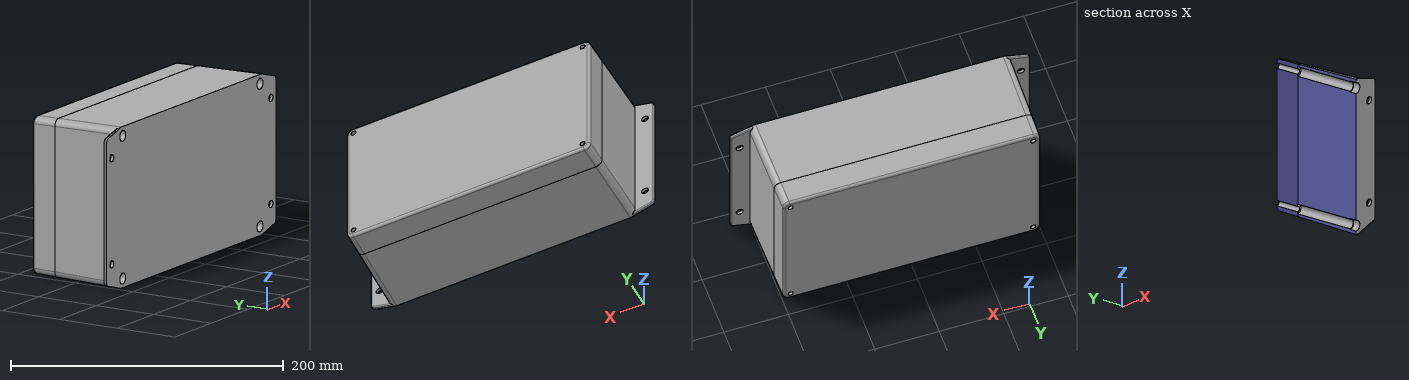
import cadquery as cq

flange_length = 232.0
box_height = 122.0
box_depth = 75.0

box_length = 202.0
draft_angle = 1.0
corner_radius = 5.0
lid_edge_radius = 2.0
lid_depth = 19.7
parting_y = box_depth - lid_depth

flange_thickness = 2.5
flange_edge_radius = 1.0
flange_corner_radius = 3.0
flange_end_height = 110.6
flange_root_length = 196.2
flange_root_height = 120.8

mount_hole_diameter = 5.3
mount_hole_pitch_x = 217.8
mount_hole_pitch_z = 80.2
counterbore_diameter = 8.1
counterbore_depth = 5.8
screw_well_diameter = 7.2
screw_hole_diameter = 4.0
screw_pitch_x = 187.9
screw_pitch_z = 107.8


def make_box():
    """Solid box that narrows towards the front, with rounded corners and front edge."""
    return (
        cq.Workplane("ZX")
        .rect(box_height, box_length)
        .extrude(box_depth, taper=draft_angle)
        .edges("not(#Y)")
        .fillet(corner_radius)
        .faces(">Y")
        .edges()
        .fillet(lid_edge_radius)
    )


def make_slab(start_y, depth):
    """Block wider than the part, used to cut the box at the parting plane."""
    return (
        cq.Workplane("ZX", origin=(0, start_y, 0))
        .rect(flange_length, flange_length)
        .extrude(depth)
    )


def make_ear(side):
    """Tapering plate past one end of the box; side is +1 for the +X end and -1 for the -X end."""
    end_x = side * flange_length / 2
    end_z = flange_end_height / 2
    root_x = side * flange_root_length / 2
    root_z = flange_root_height / 2
    outline = [(end_z, end_x), (root_z, root_x), (-root_z, root_x), (-end_z, end_x)]
    end_side = ">X" if side > 0 else "<X"
    root_side = "<X" if side > 0 else ">X"
    return (
        cq.Workplane("ZX")
        .polyline(outline)
        .close()
        .extrude(flange_thickness)
        .edges(f"|Y and {end_side}")
        .fillet(flange_corner_radius)
        .faces(">Y")
        .edges(f"not {root_side}")
        .fillet(flange_edge_radius)
    )


def make_holes(pitch_x, pitch_z, diameter, start_y, depth):
    """Four cylinders along Y at the corners of a centred rectangle."""
    return (
        cq.Workplane("ZX", origin=(0, start_y, 0))
        .rect(pitch_z, pitch_x, forConstruction=True)
        .vertices()
        .circle(diameter / 2)
        .extrude(depth)
    )


def make_base():
    """Base with its two flange ears, mounting holes and a counterbored screw well in each corner."""
    body = make_box().intersect(make_slab(0, parting_y))
    for side in (-1, 1):
        body = body.union(make_ear(side))
    mount_holes = make_holes(
        mount_hole_pitch_x, mount_hole_pitch_z, mount_hole_diameter, 0, flange_thickness
    )
    wells = make_holes(screw_pitch_x, screw_pitch_z, screw_well_diameter, 0, parting_y)
    counterbores = make_holes(
        screw_pitch_x, screw_pitch_z, counterbore_diameter, 0, counterbore_depth
    )
    return body.cut(mount_holes).cut(wells).cut(counterbores)


def make_lid():
    """Lid in front of the parting plane, with a screw hole in each corner."""
    body = make_box().intersect(make_slab(parting_y, lid_depth))
    screw_holes = make_holes(
        screw_pitch_x, screw_pitch_z, screw_hole_diameter, parting_y, lid_depth
    )
    return body.cut(screw_holes)


base = make_base()
lid = make_lid()

result = cq.Compound.makeCompound([base.val(), lid.val()])